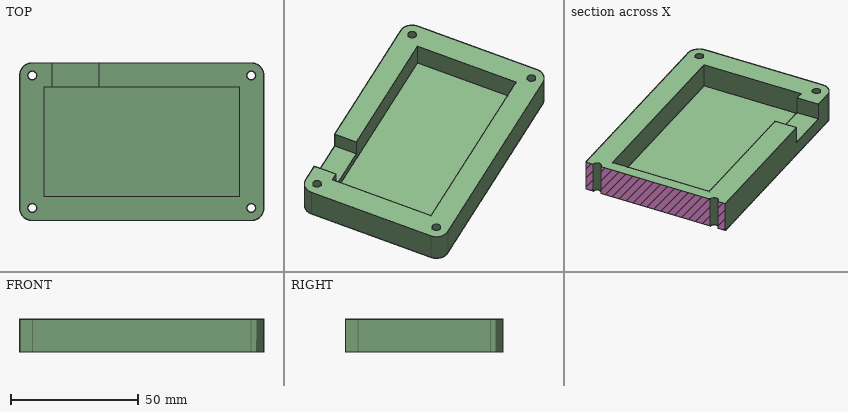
import cadquery as cq

length = 96.1
width = 62.1
height = 13.0
corner_radius = 5.0

hole_diameter = 3.4

wall = 9.5
pocket_length = length - 2 * wall
pocket_width = width - 2 * wall
pocket_depth = 10.0

notch_offset = 12.8
notch_length = 18.5
notch_depth = 7.0


def rounded_block():
    block = cq.Workplane("XY").box(length, width, height, centered=(True, True, False))
    return block.edges("|Z").fillet(corner_radius)


def pocket():
    return (
        cq.Workplane("XY")
        .workplane(offset=height - pocket_depth)
        .rect(pocket_length, pocket_width)
        .extrude(pocket_depth)
    )


def wall_notch():
    return (
        cq.Workplane("XY")
        .box(notch_length, wall, notch_depth, centered=False)
        .translate((notch_offset - length / 2, width / 2 - wall, height - notch_depth))
    )


def corner_holes():
    return (
        cq.Workplane("XY")
        .rect(length - 2 * corner_radius, width - 2 * corner_radius, forConstruction=True)
        .vertices()
        .circle(hole_diameter / 2)
        .extrude(height)
    )


result = rounded_block().cut(pocket()).cut(wall_notch()).cut(corner_holes())